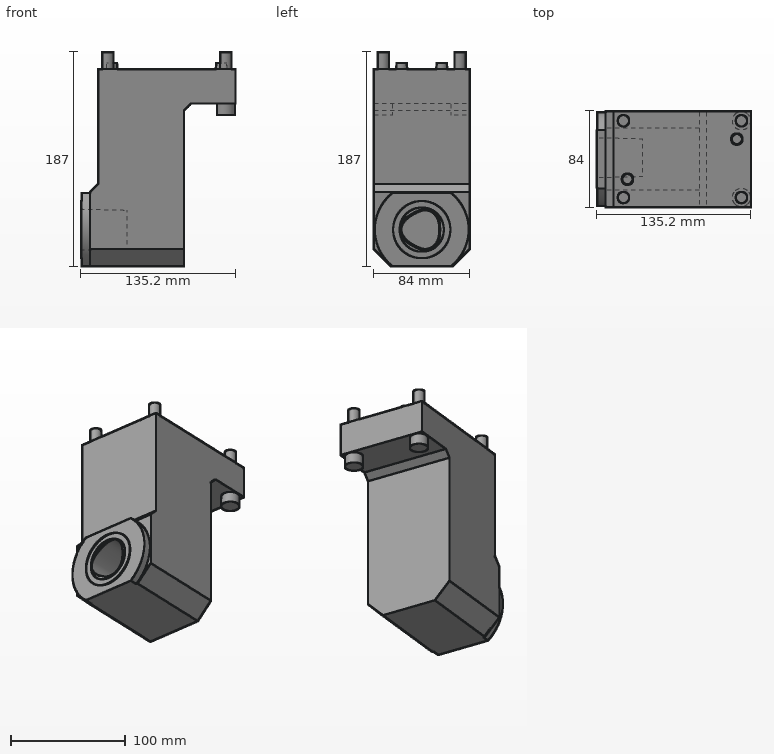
import cadquery as cq
import math


width = 84.0
mounting_length = 120.0
body_height = 172.0
shank_depth = 75.0
arm_thickness = 30.0
arm_chamfer = 6.0
foot_step = 7.0
foot_step_drop = 100.0
foot_chamfer = 15.0

flange_diameter = 82.0
flange_height = 64.0
flange_thickness = 7.5
ring_diameter = 50.0
ring_height = 0.7

recess_diameter = 38.62
recess_depth = 0.5
lobe_mean_radius = 17.45
lobe_eccentricity = 1.25
lobe_count = 3
lobe_curve_points = 72
socket_depth = 40.0
socket_taper = 1 / 40

screw_diameter = 10.0
screw_projection = 15.0
screw_spacing_x = 103.0
screw_spacing_y = 67.0
screw_first_x = (width - screw_spacing_y) / 2
screw_head_diameter = 16.0
screw_head_height = 10.0

stud_base_diameter = 10.0
stud_top_diameter = 9.0
stud_height = 5.5
stud_first_x = 12.0
stud_spacing_x = 95.5
stud_spacing_y = 35.0

foot_face_x = -foot_step
flange_face_x = foot_face_x - flange_thickness
ring_face_x = flange_face_x - ring_height
receiver_z = -body_height + flange_height / 2


def make_body():
    outline = [
        (0, 0),
        (mounting_length, 0),
        (mounting_length, -arm_thickness),
        (shank_depth + arm_chamfer, -arm_thickness),
        (shank_depth, -arm_thickness - arm_chamfer),
        (shank_depth, -body_height),
        (foot_face_x, -body_height),
        (foot_face_x, -foot_step_drop - foot_step),
        (0, -foot_step_drop),
    ]
    body = cq.Workplane("XZ").polyline(outline).close().extrude(width / 2, both=True)
    return body.faces("<Z").edges("|X").chamfer(foot_chamfer)


def receiver_plane(x):
    """Plane across the receiver axis at x, with local x along +Y and its normal along +X."""
    return cq.Workplane("YZ", origin=(x, 0, receiver_z))


def make_flange():
    disc = receiver_plane(flange_face_x).circle(flange_diameter / 2).extrude(flange_thickness)
    flats = receiver_plane(flange_face_x).rect(flange_diameter, flange_height).extrude(flange_thickness)
    ring = receiver_plane(ring_face_x).circle(ring_diameter / 2).extrude(ring_height)
    return disc.intersect(flats).union(ring)


def lobed_wire(x, inset):
    """Closed lobed curve at x, one lobe toward +Y, shrunk radially by inset."""

    def point(turn):
        angle = 2 * math.pi * turn
        radius = lobe_mean_radius - inset + lobe_eccentricity * math.cos(lobe_count * angle)
        return (radius * math.cos(angle), radius * math.sin(angle))

    return receiver_plane(x).parametricCurve(point, N=lobe_curve_points).val()


def make_receiver_bore():
    recess = receiver_plane(ring_face_x).circle(recess_diameter / 2).extrude(recess_depth)
    mouth_x = ring_face_x + recess_depth
    mouth = lobed_wire(mouth_x, 0)
    floor = lobed_wire(mouth_x + socket_depth, socket_depth * socket_taper)
    socket = cq.Workplane(cq.Solid.makeLoft([mouth, floor]))
    return recess.union(socket)


def add_screws(part):
    screw_last_x = screw_first_x + screw_spacing_x
    for y in (-screw_spacing_y / 2, screw_spacing_y / 2):
        for x in (screw_first_x, screw_last_x):
            tip = cq.Workplane("XY").center(x, y).circle(screw_diameter / 2).extrude(screw_projection)
            part = part.union(tip)
        under_arm = cq.Workplane("XY", origin=(screw_last_x, y, -arm_thickness))
        part = part.union(under_arm.circle(screw_head_diameter / 2).extrude(-screw_head_height))
    return part


def add_locating_studs(part):
    for x, y in (
        (stud_first_x, -stud_spacing_y / 2),
        (stud_first_x + stud_spacing_x, stud_spacing_y / 2),
    ):
        stud = cq.Solid.makeCone(
            stud_base_diameter / 2, stud_top_diameter / 2, stud_height, pnt=cq.Vector(x, y, 0)
        )
        part = part.union(cq.Workplane(stud))
    return part


result = make_body().union(make_flange()).cut(make_receiver_bore())
result = add_screws(result)
result = add_locating_studs(result)